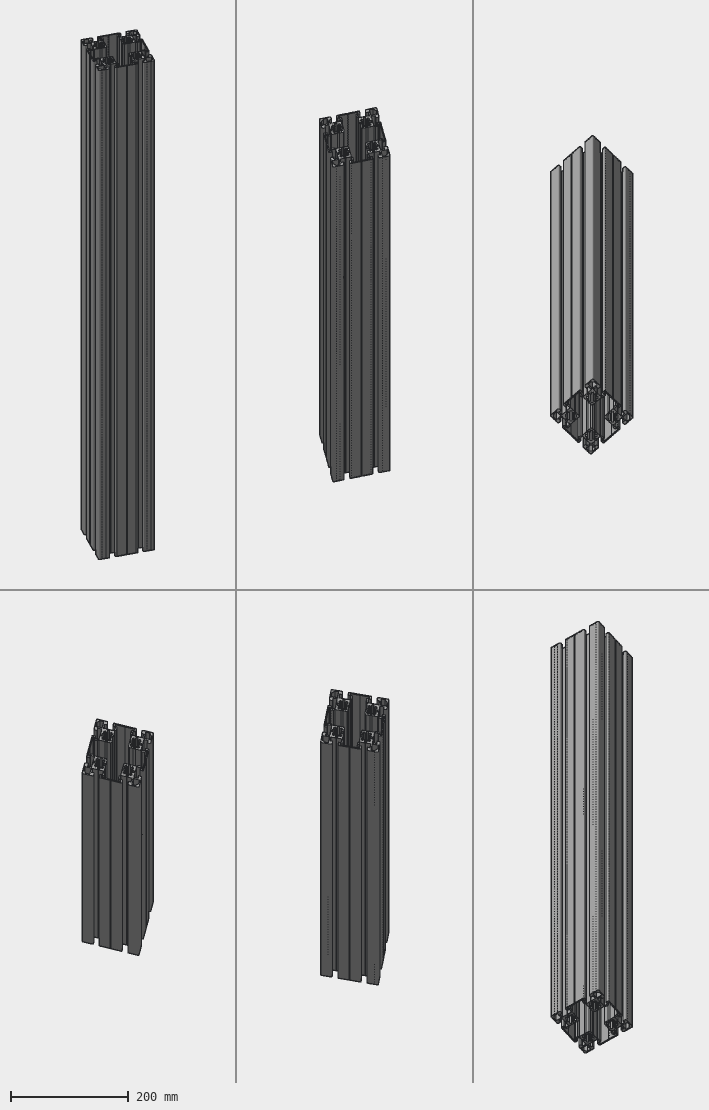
import cadquery as cq
import math

length = 1000.0
side = 100.0
half_side = side / 2
corner_radius = 2.0
face_groove = 1.0

slot_offset = 25.0
slot_opening = 10.0
slot_depth = 13.0
lip_thickness = 6.0
cavity_width = 19.0
outer_lip_radius = 2.5
inner_lip_radius = 1.5
floor_groove = 0.5

outer_wall = 2.0
cavity_wall = 3.0
channel_width = 29.0
flare_width = 34.0
flare_length = 2.0
flare_taper = 2.0
core_chamfer = 2.0

bore_radius = 6.6
bore_groove_radius = 9.5
bore_groove_width = 3.6
bore_groove_count = 8

hollow_wall = 2.0
hollow_end = 13.0
hollow_chamfer = 4.5


def prism(points):
    return cq.Workplane("XY").polyline(points).close().extrude(length)


def swapped(points):
    """The same points reflected in the diagonal of the quadrant, in reverse order."""
    return [(y, x) for x, y in reversed(points)]


def slot():
    """T-slot in the +Y face, beside the +X corner."""
    arc_middle = 1 - math.sqrt(0.5)
    left = slot_offset - slot_opening / 2
    right = slot_offset + slot_opening / 2
    cavity_left = slot_offset - cavity_width / 2
    cavity_right = slot_offset + cavity_width / 2
    lip_bottom = half_side - lip_thickness
    floor = half_side - slot_depth
    outline = (
        cq.Workplane("XY")
        .moveTo(right + outer_lip_radius, half_side)
        .threePointArc(
            (right + arc_middle * outer_lip_radius, half_side - arc_middle * outer_lip_radius),
            (right, half_side - outer_lip_radius),
        )
        .lineTo(right, lip_bottom)
        .lineTo(cavity_right, lip_bottom)
        .lineTo(cavity_right, floor)
        .lineTo(slot_offset + floor_groove, floor)
        .lineTo(slot_offset, floor - floor_groove)
        .lineTo(slot_offset - floor_groove, floor)
        .lineTo(cavity_left, floor)
        .lineTo(cavity_left, lip_bottom)
        .lineTo(left, lip_bottom)
        .lineTo(left, half_side - inner_lip_radius)
        .threePointArc(
            (left - arc_middle * inner_lip_radius, half_side - arc_middle * inner_lip_radius),
            (left - inner_lip_radius, half_side),
        )
    )
    return outline.close().extrude(length)


def face_groove_cut():
    """Half of the V-groove in the middle of the +Y face."""
    return prism([(0, half_side), (face_groove, half_side), (0, half_side - face_groove)])


def channel():
    """Quarter of the cross-shaped channel, narrowed where it passes the slot cavities."""
    end = half_side - outer_wall
    channel_half_width = channel_width / 2
    flare_half_width = flare_width / 2
    flare_end = end - flare_length
    neck_half_width = slot_offset - cavity_width / 2 - cavity_wall
    neck_end = half_side - slot_depth
    arm = [
        (end, flare_half_width),
        (flare_end, flare_half_width),
        (flare_end - flare_taper, neck_half_width),
        (neck_end + flare_taper, neck_half_width),
        (neck_end, channel_half_width),
        (channel_half_width + core_chamfer, channel_half_width),
    ]
    return prism([(0, 0), (end, 0)] + arm + swapped(arm) + [(0, end)])


def bore():
    """Bore with lengthwise grooves spread evenly around it."""
    cutter = cq.Workplane("XY").circle(bore_radius).extrude(length)
    groove = (
        cq.Workplane("XY")
        .center(bore_groove_radius / 2, 0)
        .rect(bore_groove_radius, bore_groove_width)
        .extrude(length)
    )
    for i in range(bore_groove_count):
        angle = 360 / bore_groove_count * i
        cutter = cutter.union(groove.rotate((0, 0, 0), (0, 0, 1), angle))
    return cutter.translate((slot_offset, slot_offset, 0))


def corner_hollow():
    """Square hollow in the corner, chamfered toward the outer edge."""
    outside = half_side - hollow_wall
    inside = half_side - hollow_end
    flank = [(outside, outside - hollow_chamfer), (outside, inside)]
    return prism(flank + [(inside, inside)] + swapped(flank))


def across_diagonal(cutter):
    """Moves a cutter from the +Y face to the matching place on the +X face."""
    return cutter.mirror("XZ").rotate((0, 0, 0), (0, 0, 1), 90)


quadrant = cq.Workplane("XY").rect(half_side, half_side, centered=False).extrude(length)
quadrant = quadrant.edges("|Z and >X and >Y").fillet(corner_radius)
for cutter in (slot(), face_groove_cut()):
    quadrant = quadrant.cut(cutter).cut(across_diagonal(cutter))
for cutter in (channel(), bore(), corner_hollow()):
    quadrant = quadrant.cut(cutter)

upper_half = quadrant.union(quadrant.mirror("YZ"))
result = upper_half.union(upper_half.mirror("XZ")).solids()